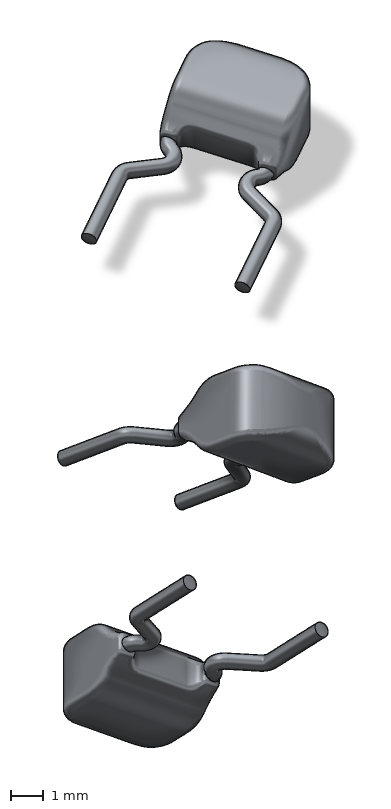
import cadquery as cq
import math


body_width = 4.0
body_thickness = 2.5
body_length = 3.72
shoulder_y = 2.44
corner_radius = 1.0
taper_y = 0.79
edge_radius = 0.28

back_flat_end_y = 2.93
back_round_radius = 0.8
front_flat_end_y = 1.63
front_round_radius = 1.1
neck_angle = 48.0
tip_half_thickness = 0.38

tip_radius = 0.16
collar_width = 0.58
notch_depth = 0.41
notch_flat_half_width = 0.9
notch_radius = 0.24
rim_search = 0.01

lead_diameter = 0.5
lead_exit_x = 1.6
lead_end_x = (5.5 - lead_diameter) / 2
lead_end_y = body_length - 8.0
lead_insertion = 0.08
bend_radius = 0.38
bend_angle = math.radians(60)

half_width = body_width / 2
half_thickness = body_thickness / 2
half_collar = collar_width / 2
outer_edge_min_x = lead_exit_x - half_collar / 2


def mirrored(points):
    return [(-x, y) for x, y in points]


def arc_point(center, radius, angle):
    return (center[0] + radius * math.cos(angle), center[1] + radius * math.sin(angle))


def arc_along_y(start, end):
    """Middle of the arc from start to end whose tangent at start runs along Y."""
    across = start[0] - end[0]
    along = start[1] - end[1]
    radius = (across ** 2 + along ** 2) / (2 * across)
    sweep = math.atan2(along, radius - across)
    return (start[0] - radius * (1 - math.cos(sweep / 2)), start[1] - radius * math.sin(sweep / 2))


def arc_along_x(start, end):
    """Middle of the arc from start to end whose tangent at start runs along X."""
    y, x = arc_along_y(start[::-1], end[::-1])
    return (x, y)


def make_plan():
    """Body outline in X-Y: domed back, rounded corners and a notch in front."""
    corner_center = (half_width - corner_radius, shoulder_y)
    rise = body_length - shoulder_y
    dome_radius = (corner_center[0] ** 2 + rise ** 2 - corner_radius ** 2) / (2 * (rise - corner_radius))
    dome_center_y = body_length - dome_radius
    join_angle = math.atan2(shoulder_y - dome_center_y, corner_center[0])

    collar_outer = (lead_exit_x + half_collar, 0)
    collar_inner = (lead_exit_x - half_collar, 0)
    taper_start = (half_width, taper_y)
    shoulder = (half_width, shoulder_y)
    corner_mid = arc_point(corner_center, corner_radius, join_angle / 2)
    corner_end = arc_point(corner_center, corner_radius, join_angle)
    notch_corner = (notch_flat_half_width, notch_depth)
    right = [collar_inner, collar_outer, taper_start, shoulder, corner_mid, corner_end, notch_corner]
    left_inner, left_outer, left_taper, left_shoulder, left_mid, left_end, left_notch = mirrored(right)

    return (
        cq.Workplane("XY")
        .moveTo(*left_notch)
        .lineTo(*notch_corner)
        .tangentArcPoint(collar_inner, relative=False)
        .lineTo(*collar_outer)
        .threePointArc(arc_along_y(taper_start, collar_outer), taper_start)
        .lineTo(*shoulder)
        .threePointArc(corner_mid, corner_end)
        .threePointArc((0, body_length), left_end)
        .threePointArc(left_mid, left_shoulder)
        .lineTo(*left_taper)
        .tangentArcPoint(left_outer, relative=False)
        .lineTo(*left_inner)
        .threePointArc(arc_along_x(left_notch, left_inner), left_notch)
        .close()
        .extrude(half_thickness, both=True)
    )


def make_profile():
    """Body section in Y-Z: full thickness behind, necking down to the leads."""
    slope = math.radians(neck_angle)
    back_center = (back_flat_end_y, half_thickness - back_round_radius)
    back_mid = arc_point(back_center, back_round_radius, math.pi / 4)
    back_y = back_flat_end_y + back_round_radius
    front_center = (front_flat_end_y, half_thickness - front_round_radius)
    front_mid = arc_point(front_center, front_round_radius, math.pi / 2 + slope / 2)
    front_end = arc_point(front_center, front_round_radius, math.pi / 2 + slope)
    neck_run = front_end[0]
    neck_drop = front_end[1] - tip_half_thickness
    chord_angle = math.atan2(neck_drop, neck_run)
    sag = math.hypot(neck_run, neck_drop) / 2 * math.tan((slope - chord_angle) / 2)
    neck_mid = (
        neck_run / 2 + sag * math.sin(chord_angle),
        tip_half_thickness + neck_drop / 2 - sag * math.cos(chord_angle),
    )
    lower_back_mid, lower_front_mid, lower_front_end, lower_neck_mid = [
        (y, -z) for y, z in (back_mid, front_mid, front_end, neck_mid)
    ]
    return (
        cq.Workplane("YZ")
        .moveTo(0, -tip_half_thickness)
        .lineTo(0, tip_half_thickness)
        .threePointArc(neck_mid, front_end)
        .threePointArc(front_mid, (front_flat_end_y, half_thickness))
        .lineTo(back_flat_end_y, half_thickness)
        .threePointArc(back_mid, (back_y, back_center[1]))
        .lineTo(back_y, -back_center[1])
        .threePointArc(lower_back_mid, (back_flat_end_y, -half_thickness))
        .lineTo(front_flat_end_y, -half_thickness)
        .threePointArc(lower_front_mid, lower_front_end)
        .threePointArc(lower_neck_mid, (0, -tip_half_thickness))
        .close()
        .extrude(half_width, both=True)
    )


def make_lead(side):
    """Round wire: kinked inwards, then outwards to its final pitch; side is -1 or 1."""
    sin_bend = math.sin(bend_angle)
    cos_bend = math.cos(bend_angle)
    bend_in = bend_radius * (1 - cos_bend)
    bend_drop = bend_radius * sin_bend

    start = (lead_exit_x, lead_insertion)
    first_bend_mid = arc_point((lead_exit_x - bend_radius, lead_insertion), bend_radius, -bend_angle / 2)
    elbow_start = (lead_exit_x - bend_in, lead_insertion - bend_drop)
    elbow_end = (elbow_start[0], elbow_start[1] - 2 * bend_drop)
    last_bend_x = lead_end_x - bend_in
    last_bend = (last_bend_x, elbow_end[1] - (last_bend_x - elbow_end[0]) / math.tan(bend_angle))
    straight = (lead_end_x, last_bend[1] - bend_drop)
    end = (lead_end_x, lead_end_y)
    path = (
        cq.Workplane("XY")
        .moveTo(*start)
        .threePointArc(first_bend_mid, elbow_start)
        .tangentArcPoint(elbow_end, relative=False)
        .lineTo(*last_bend)
        .tangentArcPoint(straight, relative=False)
        .lineTo(*end)
    )
    lead = (
        cq.Workplane("XZ", origin=(lead_exit_x, lead_insertion, 0))
        .circle(lead_diameter / 2)
        .sweep(path)
    )
    return lead if side > 0 else lead.mirror("YZ")


def make_body():
    """Plan and profile crossed, with the long outer edges and the notch rim rounded."""
    block = make_profile().intersect(make_plan())
    notch_rim = cq.selectors.BoxSelector(
        (-notch_flat_half_width, notch_depth - rim_search, -half_thickness),
        (notch_flat_half_width, notch_depth + rim_search, half_thickness),
    )
    block = block.edges("|X").edges(notch_rim).fillet(notch_radius)
    outer_edges = [
        edge for edge in block.edges("not(|X or |Z)").vals()
        if abs(edge.Center().x) > outer_edge_min_x and abs(edge.Center().z) > edge_radius / 2
    ]
    block = block.newObject(outer_edges).fillet(edge_radius)
    return block.faces("<Y").edges("|X").fillet(tip_radius)


leads = [make_lead(side) for side in (-1, 1)]
body = make_body()
for lead in leads:
    body = body.cut(lead)

result = cq.Compound.makeCompound([body.val(), *[lead.val() for lead in leads]])